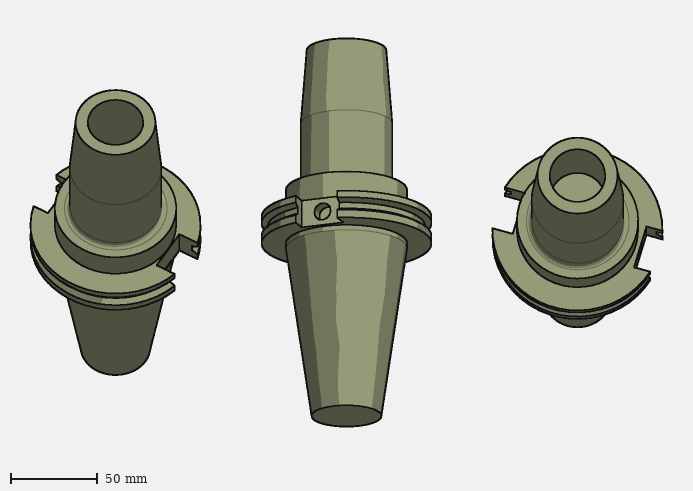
import cadquery as cq
import math

total_height = 221.5

taper_length = 101.7
gauge_radius = 35.0
taper_ratio = 7 / 24
taper_end_radius = gauge_radius - taper_length * taper_ratio / 2

flange_diameter = 98.2
flange_radius = flange_diameter / 2
flange_gap = 2.9
flange_thickness = 16.2
flange_bottom = taper_length + flange_gap
flange_top = flange_bottom + flange_thickness
groove_center = 113.0
groove_floor_width = 3.5
groove_depth = 3.5
groove_flank_angle = 30.0
groove_floor_radius = flange_radius - groove_depth
groove_floor_half = groove_floor_width / 2
groove_mouth_half = groove_floor_half + groove_depth * math.tan(math.radians(groove_flank_angle))

collar_length = 16.2
collar_top = flange_top + collar_length
neck_diameter = 53.0
neck_radius = neck_diameter / 2
neck_fillet = 3.0
nose_length = 44.3
nose_bottom = total_height - nose_length
nose_end_radius = 23.0

bore_diameter = 32.0
bore_depth = nose_length

slot_width = 25.7
slot_floor_left = 37.7
slot_floor_right = 35.2

chip_hole_diameter = 10.0
chip_hole_depth = 8.0


def revolved_body():
    """Solid of revolution: taper, grooved flange, collar, neck and nose."""
    fillet_offset = neck_fillet * (1 - math.sqrt(0.5))
    profile = (
        cq.Workplane("XZ")
        .moveTo(0, 0)
        .lineTo(taper_end_radius, 0)
        .lineTo(gauge_radius, taper_length)
        .lineTo(gauge_radius, flange_bottom)
        .lineTo(flange_radius, flange_bottom)
        .lineTo(flange_radius, groove_center - groove_mouth_half)
        .lineTo(groove_floor_radius, groove_center - groove_floor_half)
        .lineTo(groove_floor_radius, groove_center + groove_floor_half)
        .lineTo(flange_radius, groove_center + groove_mouth_half)
        .lineTo(flange_radius, flange_top)
        .lineTo(gauge_radius, flange_top)
        .lineTo(gauge_radius, collar_top)
        .lineTo(neck_radius + neck_fillet, collar_top)
        .threePointArc(
            (neck_radius + fillet_offset, collar_top + fillet_offset),
            (neck_radius, collar_top + neck_fillet),
        )
        .lineTo(neck_radius, nose_bottom)
        .lineTo(nose_end_radius, total_height)
        .lineTo(0, total_height)
        .close()
    )
    return profile.revolve(360, (0, 0, 0), (0, 1, 0))


def drive_slot(floor_distance, side):
    """Cutter for one drive slot; side is -1 for -X and +1 for +X."""
    center_x = side * (floor_distance + flange_radius / 2)
    return (
        cq.Workplane("XY", origin=(center_x, 0, flange_bottom))
        .rect(flange_radius, slot_width)
        .extrude(flange_thickness)
    )


def tool_bore():
    return (
        cq.Workplane("XY", origin=(0, 0, total_height))
        .circle(bore_diameter / 2)
        .extrude(-bore_depth)
    )


def chip_hole():
    hole_height = flange_bottom + flange_thickness / 2
    return (
        cq.Workplane("YZ", origin=(-slot_floor_left, 0, hole_height))
        .circle(chip_hole_diameter / 2)
        .extrude(chip_hole_depth)
    )


result = (
    revolved_body()
    .cut(drive_slot(slot_floor_left, -1))
    .cut(drive_slot(slot_floor_right, 1))
    .cut(tool_bore())
    .cut(chip_hole())
)